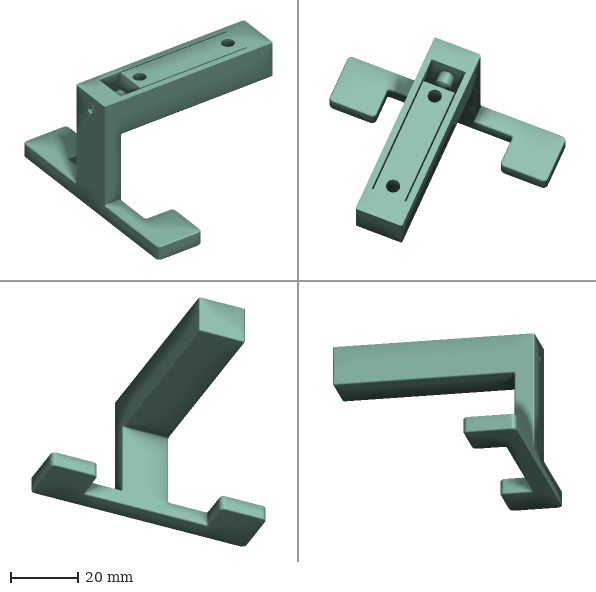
import cadquery as cq
import math

FOOT_WIDTH = 70.0
ARM_LENGTH = 61.0
TOTAL_HEIGHT = 40.0

STEM_WIDTH = 15.0
STEM_DEPTH = 6.0
ARM_HEIGHT = 12.0
FOOT_THICKNESS = 5.0
PAD_WIDTH = STEM_WIDTH
PAD_DEPTH = 16.0

PAD_CORNER_RADIUS = 1.5
EDGE_RADIUS = 0.5

POCKET_WIDTH = 11.0
POCKET_DEPTH = 10.0
POCKET_FRONT = 7.1
POCKET_BACK = 53.0
SLOPE_ANGLE = 20.0

BLOCK_WIDTH = 10.0
BLOCK_HEIGHT = 9.0
BLOCK_TOP_FRONT = 14.55
BLOCK_HOLE_DIAMETER = 4.2
BLOCK_HOLE_CENTERS = (17.85, 49.85)

SCREW_DIAMETER = 5.0
SCREW_DROP = 5.0
SCREW_CONE_START = 11.55
SCREW_STEP_DIAMETER = 4.2
SCREW_STEP_DEPTH = 0.1
HEX_ACROSS_FLATS = 2.5
HEX_DEPTH = 2.5
HEX_HALF_ANGLE = 30.0

SCREW_Z = TOTAL_HEIGHT - SCREW_DROP
SLOPE = math.tan(math.radians(SLOPE_ANGLE))


def box(x_center, y_start, z_start, width, depth, height):
    """Box centred on x_center, growing toward +Y and +Z from its start corner."""
    return cq.Workplane("XY").box(width, depth, height, centered=(True, False, False)).translate(
        (x_center, y_start, z_start)
    )


def extruded_side_profile(points, width):
    """Prism with a (Y, Z) outline, centred on X = 0."""
    return cq.Workplane("YZ").polyline(points).close().extrude(width / 2, both=True)


def make_foot():
    """U-shaped plate: a bar along the front with a pad at each end."""
    pad_x = (FOOT_WIDTH - PAD_WIDTH) / 2
    foot = box(0, 0, 0, FOOT_WIDTH, STEM_DEPTH, FOOT_THICKNESS)
    for x in (-pad_x, pad_x):
        foot = foot.union(box(x, 0, 0, PAD_WIDTH, PAD_DEPTH, FOOT_THICKNESS))
    for x in (PAD_WIDTH - FOOT_WIDTH / 2, FOOT_WIDTH / 2 - PAD_WIDTH):
        inner_corner = cq.selectors.NearestToPointSelector((x, STEM_DEPTH, FOOT_THICKNESS / 2))
        foot = foot.edges("|Z").edges(inner_corner).fillet(EDGE_RADIUS)
    outer_corners = foot.edges("|Z").edges("<Y or >Y")
    return outer_corners.fillet(PAD_CORNER_RADIUS)


def make_bracket_body():
    """Foot, column and arm as one rounded piece, before any cuts."""
    arm_bottom = TOTAL_HEIGHT - ARM_HEIGHT
    column = box(0, 0, 0, STEM_WIDTH, STEM_DEPTH, TOTAL_HEIGHT)
    arm = box(0, 0, arm_bottom, STEM_WIDTH, ARM_LENGTH, ARM_HEIGHT)
    body = make_foot().union(column).union(arm).clean()

    for x in (-STEM_WIDTH / 2, STEM_WIDTH / 2):
        foot_corner = cq.selectors.NearestToPointSelector((x, STEM_DEPTH / 2, FOOT_THICKNESS))
        body = body.edges("|Y").edges(foot_corner).fillet(EDGE_RADIUS)
    arm_corner = cq.selectors.NearestToPointSelector((0, STEM_DEPTH, arm_bottom))
    body = body.edges("|X").edges(arm_corner).fillet(EDGE_RADIUS)

    foot_bottom_rim = body.edges("<Z").edges("<Y")
    column_rims = body.edges("|Z").edges("<Y")
    arm_end_rims = body.faces(">Y").edges("not >Z")
    return column_rims.add(foot_bottom_rim).add(arm_end_rims).fillet(EDGE_RADIUS)


def make_pocket():
    """Pocket open at the arm's top, with a front wall that leans outward."""
    floor = TOTAL_HEIGHT - POCKET_DEPTH
    outline = [
        (POCKET_FRONT, TOTAL_HEIGHT),
        (POCKET_BACK, TOTAL_HEIGHT),
        (POCKET_BACK, floor),
        (POCKET_FRONT + POCKET_DEPTH * SLOPE, floor),
    ]
    return extruded_side_profile(outline, POCKET_WIDTH)


def make_screw():
    """Set screw along +Y: stepped front end, hex socket and conical point."""
    radius = SCREW_DIAMETER / 2
    step_radius = SCREW_STEP_DIAMETER / 2
    half_outline = [
        (0, 0),
        (0, step_radius),
        (SCREW_STEP_DEPTH, step_radius),
        (SCREW_STEP_DEPTH, radius),
        (SCREW_CONE_START, radius),
        (SCREW_CONE_START + radius, 0),
    ]
    screw = cq.Workplane("YZ").polyline(half_outline).close().revolve(360, (0, 0, 0), (1, 0, 0))
    across_corners = HEX_ACROSS_FLATS / math.cos(math.radians(HEX_HALF_ANGLE))
    socket = cq.Workplane("XZ").polygon(6, across_corners).extrude(-HEX_DEPTH)
    socket = socket.rotate((0, 0, 0), (0, 1, 0), HEX_HALF_ANGLE)
    return screw.cut(socket).translate((0, 0, SCREW_Z))


def make_bracket():
    """Bracket with the block pocket and the hole that carries the set screw."""
    hole = cq.Workplane("XZ").center(0, SCREW_Z).circle(SCREW_DIAMETER / 2).extrude(-BLOCK_TOP_FRONT)
    return make_bracket_body().cut(make_pocket()).cut(hole)


def make_block(screw):
    """Clamp block against the pocket's far wall, with two holes and a sloped nose dented by the screw."""
    bottom = TOTAL_HEIGHT - BLOCK_HEIGHT
    outline = [
        (BLOCK_TOP_FRONT, TOTAL_HEIGHT),
        (POCKET_BACK, TOTAL_HEIGHT),
        (POCKET_BACK, bottom),
        (BLOCK_TOP_FRONT - BLOCK_HEIGHT * SLOPE, bottom),
    ]
    block = extruded_side_profile(outline, BLOCK_WIDTH)
    for y in BLOCK_HOLE_CENTERS:
        hole_start = cq.Workplane("XY", origin=(0, y, bottom))
        hole = hole_start.circle(BLOCK_HOLE_DIAMETER / 2).extrude(BLOCK_HEIGHT)
        block = block.cut(hole)
    return block.cut(screw)


bracket = make_bracket()
screw = make_screw()
block = make_block(screw)

result = cq.Compound.makeCompound([bracket.val(), block.val(), screw.val()])